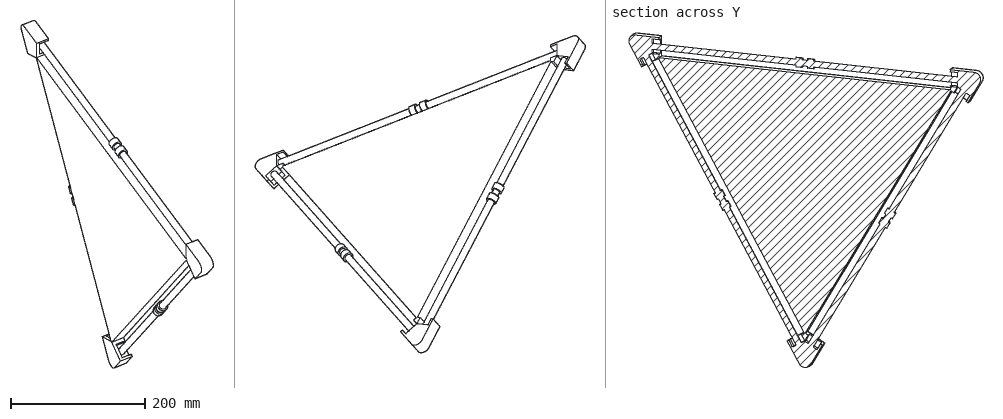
import cadquery as cq
import math

thickness = 20.0
width = 561.5
corner_radius = 10.5
cap_end = 232.0
panel_inradius = 135.5
outer_wall = 4.0
inner_wall = 7.0
front_wall = 5.0
pocket_depth = 11.0
rod_radius = 5.35
rod_inradius = 151.5
rod_y = 1.5
rod_embed = 3.0
collar_radius = 8.0
collar_inner = 4.2
collar_length = 10.0

SIDES = 3
TURN = 360 / SIDES
root3 = math.sqrt(3)
outer_inradius = corner_radius + (width / 2 - corner_radius) / root3
cap_apex_z = cap_end / root3


def triangle(inradius):
    """Equilateral triangular plate with one side on top."""
    half_side = root3 * inradius
    points = [(-half_side, inradius), (half_side, inradius), (0, -2 * inradius)]
    return cq.Workplane("XZ").polyline(points).close().extrude(thickness / 2, both=True)


def box_between(x_range, y_range, z_range):
    """Axis-aligned box given by its limits."""
    lows, highs = zip(x_range, y_range, z_range)
    lengths = [high - low for low, high in zip(lows, highs)]
    return cq.Workplane("XY").box(*lengths, centered=False).translate(lows)


def rod_cylinder(radius, start, length):
    """Cylinder on the axis of the top rod, beginning at x = start."""
    return (
        cq.Workplane("YZ", origin=(start, rod_y, rod_inradius))
        .circle(radius)
        .extrude(length)
    )


def around(shape):
    """Copies of a shape on all three sides."""
    return [shape.rotate((0, 0, 0), (0, 1, 0), i * TURN) for i in range(SIDES)]


def make_caps():
    """Rounded corners of the outer triangle, each cut square to its two sides."""
    rounded = triangle(outer_inradius).edges("|Y").fillet(corner_radius)
    half_side = root3 * outer_inradius
    gap_points = [
        (0, 0),
        (-cap_end, cap_apex_z),
        (-cap_end, half_side),
        (cap_end, half_side),
        (cap_end, cap_apex_z),
    ]
    gap = cq.Workplane("XZ").polyline(gap_points).close().extrude(thickness, both=True)
    for side_gap in around(gap):
        rounded = rounded.cut(side_gap)
    return rounded


def make_pocket():
    """Rod pockets in the two cap ends on the top side, open at the back."""
    reach = cap_end + pocket_depth
    return box_between(
        (-reach, reach),
        (front_wall - thickness / 2, thickness / 2),
        (cap_apex_z + inner_wall, outer_inradius - outer_wall),
    )


def make_rod():
    """Top rod with its pair of collars."""
    half_length = cap_end + pocket_depth + rod_embed
    rod = rod_cylinder(rod_radius, -half_length, 2 * half_length)
    for start in (-collar_inner - collar_length, collar_inner):
        rod = rod.union(rod_cylinder(collar_radius, start, collar_length))
    return rod


result = make_caps()
for pocket in around(make_pocket()):
    result = result.cut(pocket)
result = result.union(triangle(panel_inradius))
for rod in around(make_rod()):
    result = result.union(rod)